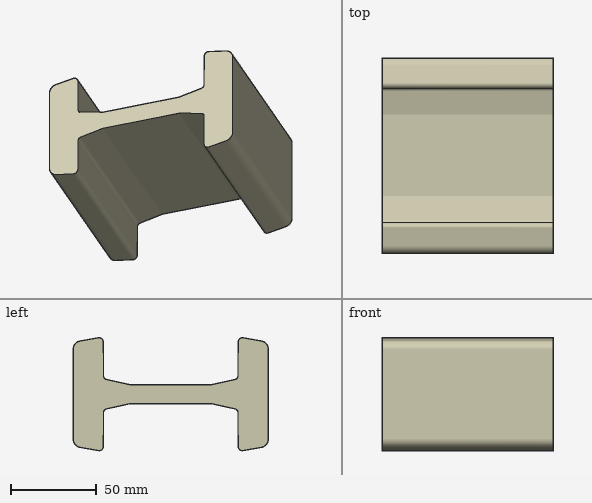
import math

import cadquery as cq

length = 100.0
width = 113.9
height = 66.0
web_thickness = 11.2
web_flat_width = 47.5
web_taper_angle = 12.5
inner_face_y = 39.1
draft_start_z = 14.3
inner_draft_angle = 0.7
tip_angle = 10.0
root_radius = 2.0
tip_radius = 2.5
outer_radius = 5.0

half_width = width / 2
half_height = height / 2
web_half = web_thickness / 2
taper_start_y = web_flat_width / 2
web_slope = math.tan(math.radians(web_taper_angle))
draft_slope = math.tan(math.radians(inner_draft_angle))
tip_slope = math.tan(math.radians(tip_angle))

root_z = web_half + (inner_face_y - taper_start_y) * web_slope

tip_center_z = half_height - tip_radius
tip_center_y = (
    inner_face_y
    + (tip_center_z - draft_start_z) * draft_slope
    + tip_radius / math.cos(math.radians(inner_draft_angle))
)
end_face_z = tip_center_z + tip_radius / math.cos(math.radians(tip_angle))
outer_corner_z = end_face_z - (half_width - tip_center_y) * tip_slope

end_face_at_inner_face = end_face_z + (tip_center_y - inner_face_y) * tip_slope
tip_rise = (end_face_at_inner_face - draft_start_z) / (1 + draft_slope * tip_slope)
tip_corner = (inner_face_y + tip_rise * draft_slope, draft_start_z + tip_rise)

taper_start = (taper_start_y, web_half)
root_corner = (inner_face_y, root_z)
draft_start = (inner_face_y, draft_start_z)
outer_corner = (half_width, outer_corner_z)
quarter = [taper_start, root_corner, draft_start, tip_corner, outer_corner]


def mirrored_profile(corners):
    """Closed outline made from one quarter mirrored about Y and Z."""
    upper_right = corners
    lower_right = [(y, -z) for y, z in reversed(corners)]
    lower_left = [(-y, -z) for y, z in corners]
    upper_left = [(-y, z) for y, z in reversed(corners)]
    return upper_right + lower_right + lower_left + upper_left


def round_corners(body, corner, radius):
    """Round the four lengthwise edges at a profile corner and its mirror images."""
    y, z = corner
    edges = cq.Workplane("YZ")
    for side_y in (-1, 1):
        for side_z in (-1, 1):
            edges = edges.add(
                body.edges(cq.selectors.NearestToPointSelector((0, side_y * y, side_z * z))).vals()
            )
    return body.newObject([body.val().fillet(radius, edges.vals())])


beam = cq.Workplane("YZ").polyline(mirrored_profile(quarter)).close().extrude(length / 2, both=True)
beam = round_corners(beam, root_corner, root_radius)
beam = round_corners(beam, tip_corner, tip_radius)
result = round_corners(beam, outer_corner, outer_radius)